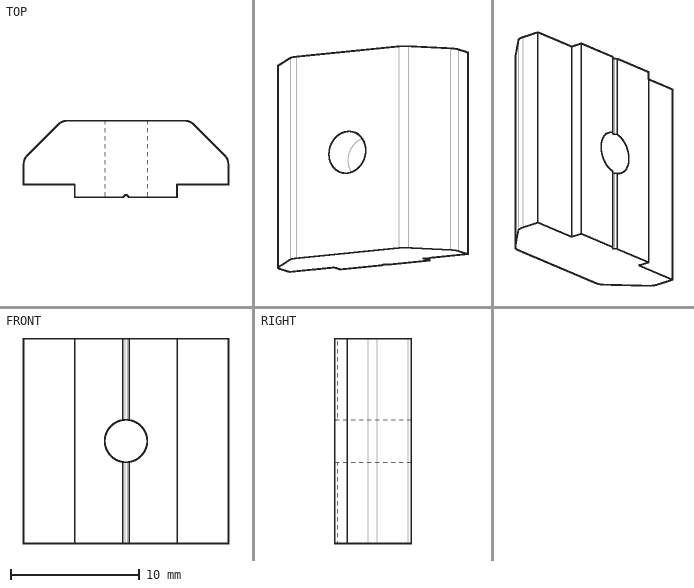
import cadquery as cq
import math

WIDTH = 16.0
LENGTH = 16.0
BODY_DEPTH = 5.0
RIB_WIDTH = WIDTH / 2
RIB_HEIGHT = 1.0

CHAMFER = 3.0
CORNER_RADIUS = 1.0

HOLE_DIAMETER = 3.3

GROOVE_WIDTH = 0.5
GROOVE_BOTTOM_RADIUS = 0.12
GROOVE_FLANK_ANGLE = math.radians(45)

RIB_FACE_Y = -(RIB_HEIGHT + BODY_DEPTH) / 2
SHOULDER_Y = RIB_FACE_Y + RIB_HEIGHT
BACK_Y = SHOULDER_Y + BODY_DEPTH


def make_body():
    """Block with sloped back corners, rounded where the slopes end."""
    body = (
        cq.Workplane("XY")
        .rect(WIDTH, BODY_DEPTH)
        .extrude(LENGTH / 2, both=True)
        .translate((0, (SHOULDER_Y + BACK_Y) / 2, 0))
    )
    body = body.faces(">Y").edges("|Z").chamfer(CHAMFER)
    slope_ends = body.edges("|Z").edges(cq.selectors.BoxSelector(
        (-WIDTH, SHOULDER_Y + CORNER_RADIUS, -LENGTH),
        (WIDTH, BACK_Y + CORNER_RADIUS, LENGTH),
    ))
    return slope_ends.fillet(CORNER_RADIUS)


def make_rib():
    """Central guide rib on the -Y face, running the full length."""
    return (
        cq.Workplane("XY")
        .rect(RIB_WIDTH, RIB_HEIGHT)
        .extrude(LENGTH / 2, both=True)
        .translate((0, RIB_FACE_Y + RIB_HEIGHT / 2, 0))
    )


def make_groove():
    """Cutter for the V groove, its flanks tangent to the round bottom."""
    half_width = GROOVE_WIDTH / 2
    tangent_x = GROOVE_BOTTOM_RADIUS * math.sin(GROOVE_FLANK_ANGLE)
    tangent_y = RIB_FACE_Y + (half_width - tangent_x) * math.tan(GROOVE_FLANK_ANGLE)
    bottom_y = tangent_y + GROOVE_BOTTOM_RADIUS * (1 - math.cos(GROOVE_FLANK_ANGLE))
    return (
        cq.Workplane("XY")
        .moveTo(-half_width, RIB_FACE_Y)
        .lineTo(-tangent_x, tangent_y)
        .threePointArc((0, bottom_y), (tangent_x, tangent_y))
        .lineTo(half_width, RIB_FACE_Y)
        .close()
        .extrude(LENGTH / 2, both=True)
    )


def make_hole():
    """Cutter for the central through hole along Y."""
    return (
        cq.Workplane("XZ")
        .circle(HOLE_DIAMETER / 2)
        .extrude(BODY_DEPTH + RIB_HEIGHT, both=True)
    )


result = make_body().union(make_rib()).cut(make_groove()).cut(make_hole())